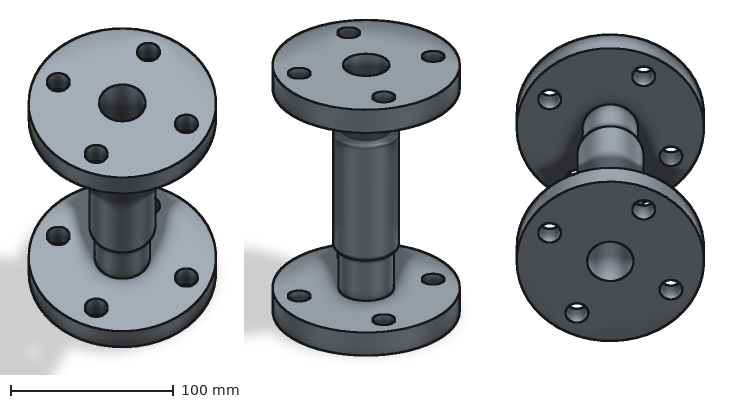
import cadquery as cq

total_height = 172
flange_diameter = 115.0
flange_thickness = 16.2
neck_diameter = 34.0
body_diameter = 40.6
body_height = 86.3
shoulder_height = 5.0
bore_diameter = 28.4
bolt_hole_diameter = 14.0
bolt_circle_diameter = 85.0
bolt_count = 4
first_bolt_angle = 45

flange_radius = flange_diameter / 2
neck_radius = neck_diameter / 2
body_radius = body_diameter / 2
half_height = total_height / 2
flange_inner_z = half_height - flange_thickness
shoulder_outer_z = body_height / 2
shoulder_inner_z = shoulder_outer_z - shoulder_height
shoulder_middle_radius = (neck_radius + body_radius) / 2
shoulder_middle_z = shoulder_outer_z - shoulder_height / 2


def make_spool():
    """Revolve the solid spool: two flanges, two necks and the thicker body between them."""
    return (
        cq.Workplane("XZ")
        .moveTo(0, half_height)
        .lineTo(flange_radius, half_height)
        .lineTo(flange_radius, flange_inner_z)
        .lineTo(neck_radius, flange_inner_z)
        .lineTo(neck_radius, shoulder_outer_z)
        .tangentArcPoint((shoulder_middle_radius, shoulder_middle_z), relative=False)
        .tangentArcPoint((body_radius, shoulder_inner_z), relative=False)
        .lineTo(body_radius, -shoulder_inner_z)
        .tangentArcPoint((shoulder_middle_radius, -shoulder_middle_z), relative=False)
        .tangentArcPoint((neck_radius, -shoulder_outer_z), relative=False)
        .lineTo(neck_radius, -flange_inner_z)
        .lineTo(flange_radius, -flange_inner_z)
        .lineTo(flange_radius, -half_height)
        .lineTo(0, -half_height)
        .close()
        .revolve(360, (0, 0, 0), (0, 1, 0))
    )


def make_bore():
    """Central passage through the full height."""
    return cq.Workplane("XY").circle(bore_diameter / 2).extrude(half_height, both=True)


def make_bolt_holes():
    """Bolt holes through both flanges, on the diagonals."""
    return (
        cq.Workplane("XY")
        .polarArray(bolt_circle_diameter / 2, first_bolt_angle, 360, bolt_count)
        .circle(bolt_hole_diameter / 2)
        .extrude(half_height, both=True)
    )


result = make_spool().cut(make_bore()).cut(make_bolt_holes())